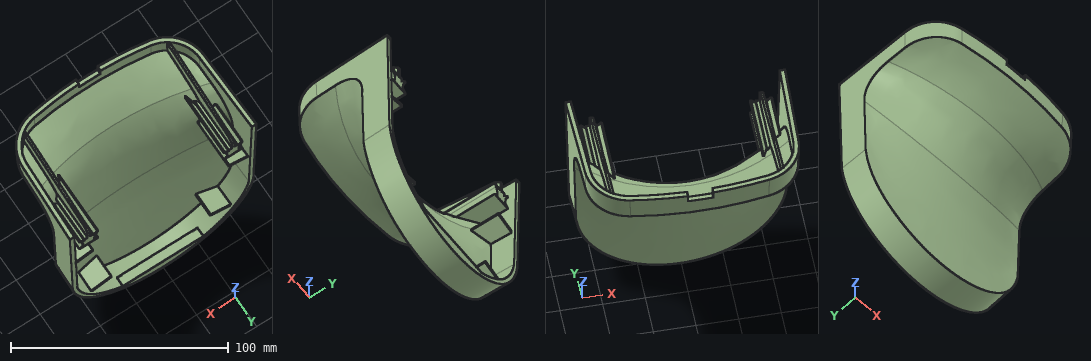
import cadquery as cq
import math

width = 103.0
depth = 64.1
height = 114.8
wall = 2.5

draft_slope = 0.0236
side_slope = 0.035
round_start_z = 44.2
bottom_radius = 50.2
front_radius = 203.2
corner_radius = 20.7
corner_centre = (29.2, -41.1)
overrun = 5.7

scoop_half_width = 50.5
bulge_radius = 76.9
rear_depth = 15.2
band_bottom_z = 102.0
side_round = 15.3
belly_slope = 0.128
lip_slope = 0.41

belly_top_z = 45.9
side_belly_z = 68.9
shoulder_middle = (-25.1, 66.4)
shoulder_slope = 0.34
side_shoulder_z = 85.0
turn_middle = (-36.2, 84.6)
crest_middle = (-43.7, 91.9)
crest_slope = 0.75
scoop_stations = 9
scoop_margin = 2.3

notch_width = 11.8
notch_depth = 3.9

inner_back_y = -1.8
rib_x = 39.8
rib_thickness = 1.3
rib_back_z = 105.4
rib_front_z = 113.2
rib_front_y = -50.2
rib_chamfer = 2.6
rail_z = 92.8
rail_length = 39.0
rail_shoulder = (2.4, 4.1)
rail_groove = (2.4, 2.8)
rail_lip_top = (4.7, 5.0)
rail_lip_tip = (5.2, 4.6)
rail_under_lip = (4.0, 2.5)
rail_hollow = (3.2, -0.3)
rail_waist = (3.0, -2.4)
rail_foot = (5.2, -4.6)

fin_edges = [(37.5, 75.5), (27.3, 24.7)]
fin_length = 16.1
fin_thickness = 1.1
fin_tilt = 15.0

ledge_depth = 5.0
ledge_top_z = 8.0


def outline(y, inset, top_z):
    """U-shaped outline at depth y, moved inwards by inset."""
    def half_width(z):
        return width / 2 - inset - draft_slope * (height - z) + side_slope * y

    top = half_width(top_z)
    low = half_width(round_start_z)
    return (
        cq.Workplane("XZ", origin=(0, y, 0))
        .moveTo(-top, top_z)
        .lineTo(top, top_z)
        .lineTo(low, round_start_z)
        .threePointArc((0, inset), (-low, round_start_z))
        .close()
        .wires()
        .val()
    )


def block(inset, top_z, back_y):
    """Drafted U-shaped block with a bowed front and rounded front corners."""
    ends = [outline(y, inset, top_z) for y in (back_y, -depth - overrun)]
    body = cq.Workplane(obj=cq.Solid.makeLoft(ends, True))
    radius = front_radius - inset
    cone = cq.Solid.makeCone(
        radius - draft_slope * height,
        radius + draft_slope * (top_z - height),
        top_z,
        pnt=cq.Vector(0, front_radius - depth, 0),
    )
    body = body.intersect(cq.Workplane(obj=cone))
    corners = cq.selectors.BoxSelector((-width, -depth, round_start_z), (width, -depth / 2, band_bottom_z))
    return body.edges(corners).fillet(corner_radius - inset)


def front_y(x):
    """Depth of the band's front face at distance x from the middle."""
    centre_x, centre_y = corner_centre
    if abs(x) < centre_x:
        return front_radius - depth - math.sqrt(front_radius**2 - x**2)
    return centre_y - math.sqrt(max(corner_radius**2 - (abs(x) - centre_x) ** 2, 0))


def bulge_share(x):
    """Share of the full bulge at x: 1 on the centre line, 0 at the side walls, along an arc."""
    arc_base = math.sqrt(bulge_radius**2 - scoop_half_width**2)
    return (math.sqrt(bulge_radius**2 - x**2) - arc_base) / (bulge_radius - arc_base)


def scoop_section(x, inset):
    """Cutting profile in the YZ plane at x, moved into the body by inset."""
    bulge = bulge_share(x)
    arc_x = min(abs(x), bottom_radius)
    rim_z = bottom_radius - math.sqrt(bottom_radius**2 - arc_x**2)
    lean = belly_slope * bulge
    lip_rise = lip_slope * bulge

    def blend(side, middle):
        return side + (middle - side) * bulge

    def blend_point(side, middle):
        return (blend(side[0], middle[0]), blend(side[1], middle[1]))

    def moved(point, direction):
        length = math.hypot(*direction)
        return (point[0] + inset * direction[1] / length, point[1] - inset * direction[0] / length)

    def belly_point(z):
        return (-rear_depth - lean * (z - rim_z), z)

    belly_dir = (-lean, 1)
    shoulder_dir = (-shoulder_slope * bulge, 1)
    turn_dir = (-1, 1)
    crest_dir = (-1, crest_slope * bulge)
    lip_dir = (-1, lip_rise)

    round_y = -rear_depth - side_round
    round_z = band_bottom_z - side_round
    diagonal = side_round * math.sqrt(0.5)
    far_y = -depth - 2 * overrun
    far_z = band_bottom_z + lip_rise * (front_y(x) - far_y)

    foot = moved(belly_point(-overrun), belly_dir)
    belly = moved(belly_point(blend(side_belly_z, belly_top_z)), belly_dir)
    shoulder = moved(blend_point((-rear_depth, side_shoulder_z), shoulder_middle), shoulder_dir)
    turn = moved(blend_point((round_y + diagonal, round_z + diagonal), turn_middle), turn_dir)
    crest = moved(blend_point((round_y, band_bottom_z), crest_middle), crest_dir)
    far = moved((far_y, far_z), lip_dir)
    return (
        cq.Workplane("YZ", origin=(x, 0, 0))
        .moveTo(*foot)
        .spline([belly, shoulder], tangents=[belly_dir, shoulder_dir], includeCurrent=True)
        .spline([turn, crest], tangents=[shoulder_dir, crest_dir], includeCurrent=True)
        .spline([far], tangents=[crest_dir, lip_dir], includeCurrent=True)
        .lineTo(far[0], foot[1])
        .close()
        .wires()
        .val()
    )


def scoop(inset):
    """Everything in front of the scooped face."""
    step = (width + scoop_margin) / (scoop_stations - 1)
    middle = (scoop_stations - 1) / 2
    sections = [scoop_section((i - middle) * step, inset) for i in range(scoop_stations)]
    return cq.Workplane(obj=cq.Solid.makeLoft(sections))


def both_sides(half):
    """The given shape together with its mirror image across the middle plane."""
    return half.union(half.mirror("YZ"))


def rib():
    """Upright plate from the rail up towards the top edge, sloped along its upper side."""
    low_z = rail_z
    back_y = inner_back_y
    points = [
        (back_y, low_z),
        (back_y, rib_back_z - rib_chamfer),
        (back_y - rib_chamfer, rib_back_z),
        (rib_front_y, rib_front_z),
        (-depth, rib_front_z),
        (-depth, low_z),
    ]
    start = cq.Workplane("YZ", origin=(rib_x - rib_thickness / 2, 0, 0))
    return start.polyline(points).close().extrude(rib_thickness)


def rail():
    """Waisted rail running forward from the back into the scooped face."""
    plane = cq.Workplane("XZ", origin=(rib_x, inner_back_y, rail_z))
    half = (
        plane.moveTo(0, rail_shoulder[1])
        .lineTo(*rail_shoulder)
        .lineTo(*rail_groove)
        .lineTo(*rail_lip_top)
        .lineTo(*rail_lip_tip)
        .lineTo(*rail_under_lip)
        .threePointArc(rail_hollow, rail_waist)
        .lineTo(*rail_foot)
        .lineTo(0, rail_foot[1])
        .close()
        .extrude(rail_length)
    )
    return half.union(half.mirror("YZ", (rib_x, 0, 0)))


def fin(edge_x, edge_z):
    """Thin plate from the wall, rising gently towards its free edge."""
    return (
        cq.Workplane("XY")
        .box(fin_length, depth / 2, fin_thickness, centered=(False, False, True))
        .translate((0, inner_back_y - depth / 2, 0))
        .rotate((0, 0, 0), (0, 1, 0), fin_tilt)
        .translate((edge_x, 0, edge_z))
    )


def ledge():
    """Fill of the rounded bottom at the back, flat on top."""
    return (
        cq.Workplane("XY")
        .box(width, ledge_depth, ledge_top_z, centered=(True, False, False))
        .translate((0, -ledge_depth, 0))
    )


outer = block(0, height, 0).cut(scoop(0))
cavity = block(wall, height + overrun, overrun).cut(scoop(wall))

fittings = both_sides(rib().union(rail())).union(ledge())
for edge_x, edge_z in fin_edges:
    fittings = fittings.union(both_sides(fin(edge_x, edge_z)))

notch = (
    cq.Workplane("XY")
    .box(notch_width, depth, 2 * notch_depth)
    .translate((0, -depth, height))
)

result = outer.cut(cavity).union(fittings.intersect(outer)).cut(notch)